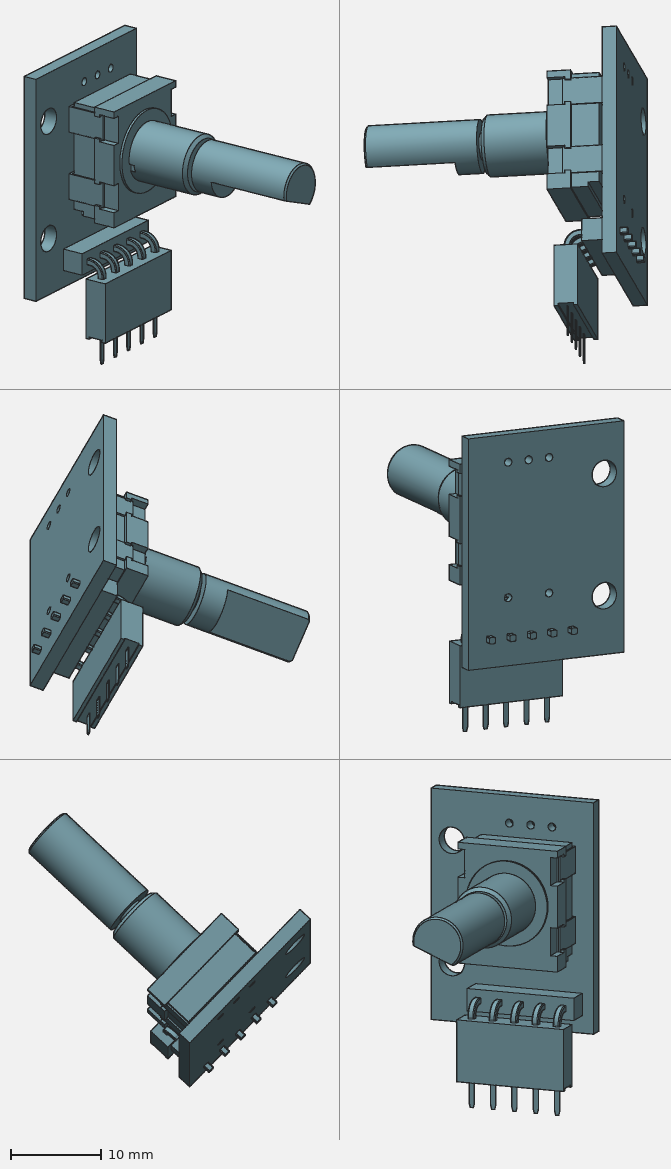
import cadquery as cq


overall_length = 30.07
overall_height = 34.81

board_thickness = 1.6
board_width = 19.33
board_height = 26.33
board_edge_y = 7.645
board_top_z = 10.63
mount_hole_dia = 3.0
mount_hole_y = -9.23
mount_hole_zs = (4.89, -9.01)
pitch = 2.54
lead_hole_dia = 0.89
lead_hole_y = 0.15
lead_hole_top_z = 7.45
lead_hole_low_z = -7.96
ledge_drop = 0.15
ledge_depth = board_thickness / 2

pin_count = 5
header_y = -0.04
header_z = -12.42
header_size = pitch
header_length = pin_count * pitch
pin_size = 0.74
pin_bevel = 0.11
pin_tip_x = -2.42
pin_embed = pin_size
bend_radius = 1.445
connector_x = 4.34
connector_depth = 2.64
connector_top_z = -14.03
connector_bottom_z = -21.08
foot_width = 0.45
foot_height = 0.25
blade_width = 0.62
blade_thickness = 0.1
blade_tip_width = 0.36
blade_taper = 0.5
blade_end_z = board_top_z - overall_height

core_back_x = 0.74
core_half_width = 5.39
core_top_z = 6.08
core_bottom_z = -7.11
core_step_x = 1.98
core_step_z = -6.59
cover_back_x = 3.88
cover_front_x = 6.52
cover_half_width = 5.92
cover_top_z = 6.4
cover_bottom_z = -7.34
strap_back_x = 0.18
strap_front_x = 4.83
strap_thickness = 0.3
strap_half_width = 5.6
strap_height = 3.04
strap_zs = (4.03, -3.95)
window_step_x = 4.53
window_height = 3.2
window_neck_height = 2.6
window_floor_half_width = 5.1
flange_dia = 9.65
flange_front_x = 6.82
bushing_dia = 6.91
bushing_end_x = 14.45
bushing_chamfer = 0.4
key_slot_end_x = 7.46
key_slot_top_z = -0.53
key_slot_bottom_z = -1.39
key_slot_floor = 3.1
neck_dia = 3.0
shaft_dia = 6.0
shaft_start_x = 14.96
shaft_end_x = pin_tip_x + overall_length
shaft_chamfer = 0.2
flat_start_x = 17.6
flat_distance = 1.47
flat_tilt = 21.7


def block(x0, x1, y0, y1, z0, z1):
    """Axis-aligned box between two opposite corners."""
    return cq.Workplane("XY").box(x1 - x0, y1 - y0, z1 - z0, centered=False).translate((x0, y0, z0))


def rod(dia, x0, x1):
    """Cylinder on the shaft axis."""
    return cq.Workplane("YZ").workplane(offset=x0).circle(dia / 2).extrude(x1 - x0)


def drill(dia, points):
    """Cutters through the board at (y, z) points."""
    return (cq.Workplane("YZ").workplane(offset=-board_thickness)
            .pushPoints(points).circle(dia / 2).extrude(board_thickness))


def make_board():
    board = block(-board_thickness, 0, board_edge_y - board_width, board_edge_y,
                  board_top_z - board_height, board_top_z)
    top_row = [(lead_hole_y + i * pitch, lead_hole_top_z) for i in (-1, 0, 1)]
    low_row = [(lead_hole_y + i * pitch, lead_hole_low_z) for i in (-1, 1)]
    board = board.cut(drill(lead_hole_dia, top_row + low_row))
    board = board.cut(drill(mount_hole_dia, [(mount_hole_y, z) for z in mount_hole_zs]))

    ledge_y = lead_hole_y + pitch
    ledge = block(-ledge_depth, 0, ledge_y - lead_hole_dia / 2, ledge_y + lead_hole_dia / 2,
                  lead_hole_low_z - lead_hole_dia / 2, lead_hole_low_z - ledge_drop)
    return board.union(ledge)


def make_bent_pin(y):
    """Bevelled square pin through the board, turning down into the connector block."""
    path = (cq.Workplane("XZ", origin=(0, y, 0))
            .moveTo(pin_tip_x, header_z)
            .lineTo(connector_x - bend_radius, header_z)
            .radiusArc((connector_x, header_z - bend_radius), bend_radius)
            .lineTo(connector_x, connector_top_z - pin_embed))
    profile = cq.Sketch().rect(pin_size, pin_size).vertices().chamfer(pin_bevel)
    return cq.Workplane("YZ", origin=(pin_tip_x, y, header_z)).placeSketch(profile).sweep(path)


def make_blade(y):
    """Thin flat contact with a tapered tip below the connector block."""
    root_z = connector_bottom_z + foot_height
    outline = [
        (y - blade_width / 2, root_z),
        (y - blade_width / 2, blade_end_z + blade_taper),
        (y - blade_tip_width / 2, blade_end_z),
        (y + blade_tip_width / 2, blade_end_z),
        (y + blade_width / 2, blade_end_z + blade_taper),
        (y + blade_width / 2, root_z),
    ]
    return (cq.Workplane("YZ").workplane(offset=connector_x - blade_thickness / 2)
            .polyline(outline).close().extrude(blade_thickness))


def make_connector():
    y0 = header_y - header_length / 2
    y1 = header_y + header_length / 2
    header = block(0, header_size, y0, y1, header_z - header_size / 2, header_z + header_size / 2)
    x0 = connector_x - connector_depth / 2
    x1 = connector_x + connector_depth / 2
    body = block(x0, x1, y0, y1, connector_bottom_z, connector_top_z)
    channel = block(x0 + foot_width, x1 - foot_width, y0, y1,
                    connector_bottom_z, connector_bottom_z + foot_height)
    connector = header.union(body.cut(channel))
    for i in range(pin_count):
        y = header_y + (i - (pin_count - 1) / 2) * pitch
        connector = connector.union(make_bent_pin(y)).union(make_blade(y))
    return connector


def make_encoder_case():
    core = block(core_back_x, cover_front_x, -core_half_width, core_half_width, core_bottom_z, core_top_z)
    core = core.cut(block(core_back_x, core_step_x, -core_half_width, core_half_width,
                          core_bottom_z, core_step_z))
    cover = block(cover_back_x, cover_front_x, -cover_half_width, cover_half_width,
                  cover_bottom_z, cover_top_z)
    case = core.union(cover)

    for z in strap_zs:
        for x0, x1, height, floor in (
                (cover_back_x, window_step_x, window_neck_height, core_half_width),
                (window_step_x, cover_front_x, window_height, window_floor_half_width)):
            for y0, y1 in ((-cover_half_width, -floor), (floor, cover_half_width)):
                case = case.cut(block(x0, x1, y0, y1, z - height / 2, z + height / 2))
        z0 = z - strap_height / 2
        z1 = z + strap_height / 2
        strap = block(strap_back_x, strap_front_x, -strap_half_width, strap_half_width, z0, z1)
        hollow = block(strap_back_x + strap_thickness, strap_front_x, -core_half_width, core_half_width, z0, z1)
        case = case.union(strap.cut(hollow))
    return case


def make_bushing():
    flange = rod(flange_dia, cover_front_x, flange_front_x)
    bushing = rod(bushing_dia, cover_front_x, bushing_end_x).faces(">X").chamfer(bushing_chamfer)
    key_slot = block(flange_front_x, key_slot_end_x, -bushing_dia / 2, -key_slot_floor,
                     key_slot_bottom_z, key_slot_top_z)
    return flange.union(bushing.cut(key_slot))


def make_shaft():
    neck = rod(neck_dia, bushing_end_x, shaft_start_x)
    shaft = rod(shaft_dia, shaft_start_x, shaft_end_x).faces(">X").chamfer(shaft_chamfer)
    flat = block(flat_start_x, shaft_end_x, -shaft_dia, shaft_dia, -shaft_dia, -flat_distance)
    flat = flat.rotate((0, 0, 0), (1, 0, 0), -flat_tilt)
    return neck.union(shaft.cut(flat))


board_assembly = make_board().union(make_connector())
encoder = make_encoder_case().union(make_bushing()).union(make_shaft())

result = cq.Compound.makeCompound([board_assembly.val(), encoder.val()])